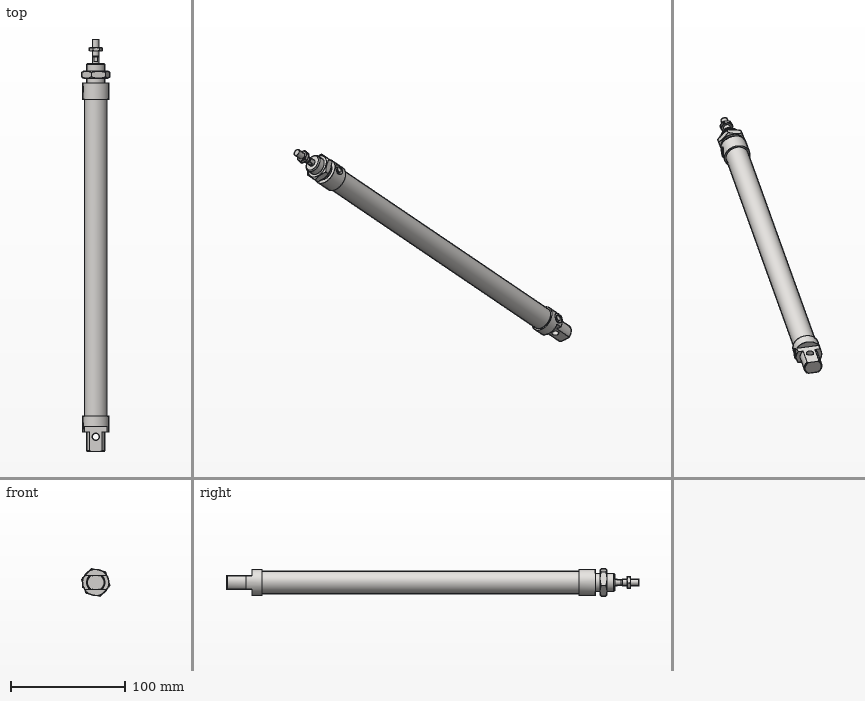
import cadquery as cq
import math


barrel_diameter = 20.0
cap_diameter = 23.0
neck_diameter = 16.0
neck_length = 17.0
neck_chamfer = 1.0
front_cap_length = 14.5
barrel_length = 277.5
rear_cap_length = 9.0

tongue_thickness = 12.0
tongue_diameter = 16.0
shoulder_length = 5.0
tongue_length = 17.0
pivot_diameter = 6.0
pivot_to_end = 13.0
tongue_chamfer = 0.75

port_boss_diameter = 9.0
port_thread_diameter = 5.0
port_core_diameter = 4.2
port_boss_depth = 3.0
port_thread_depth = 4.0
port_core_depth = 5.5
front_port_setback = 5.7
rear_port_offset = 0.3

rod_diameter = 6.0
rod_projection = 38.0
rod_thread_length = 14.5
rod_flat_width = 5.0
rod_flat_length = 3.8
rod_groove_diameter = 5.0
rod_groove_width = 1.0

nut_chamfer_angle = 30.0
nut_end_ratio = 0.95
neck_nut_width = 22.0
neck_nut_height = 6.5
neck_nut_turn = -12.4
neck_nut_gap = 3.8
rod_nut_width = 10.0
rod_nut_height = 3.2
rod_nut_turn = -5.0
rod_nut_setback = 7.15

barrel_front_y = -front_cap_length
barrel_rear_y = barrel_front_y - barrel_length
shoulder_y = barrel_rear_y - rear_cap_length
tongue_y = shoulder_y - shoulder_length
rear_end_y = tongue_y - tongue_length
front_port_y = -front_port_setback
rear_port_y = shoulder_y + rear_port_offset
port_face_x = -cap_diameter / 2


def cylinder_y(diameter, start_y, end_y):
    """Cylinder on the Y axis between two stations."""
    plane = cq.Workplane("XZ", origin=(0, start_y, 0))
    return plane.circle(diameter / 2).extrude(start_y - end_y)


def flattened_cylinder(diameter, thickness, start_y, end_y):
    """Cylinder on the Y axis with flats facing +Z and -Z."""
    length = end_y - start_y
    slab = cq.Workplane("XY").box(diameter, length, thickness)
    slab = slab.translate((0, start_y + length / 2, 0))
    return cylinder_y(diameter, start_y, end_y).intersect(slab)


def port_workplane(port_y):
    """Plane on the flat face of a port boss, with its normal pointing into the cap."""
    return cq.Workplane("YZ", origin=(port_face_x, port_y, 0))


def port_boss(port_y):
    """Round boss whose flat face surrounds a port."""
    return port_workplane(port_y).circle(port_boss_diameter / 2).extrude(port_boss_depth)


def port_hole(port_y):
    """Blind hole of a port: the wider thread, then its core."""
    thread = port_workplane(port_y).circle(port_thread_diameter / 2).extrude(port_thread_depth)
    core = port_workplane(port_y).circle(port_core_diameter / 2).extrude(port_core_depth)
    return thread.union(core)


def make_tongue():
    """Pivot tongue: a round bar chamfered at the rear end, flattened on top and bottom."""
    bar = cylinder_y(tongue_diameter, rear_end_y, tongue_y).faces("<Y").chamfer(tongue_chamfer)
    return bar.intersect(flattened_cylinder(tongue_diameter, tongue_thickness, rear_end_y, tongue_y))


def make_housing():
    """Barrel with both end caps, threaded neck, pivot tongue, ports and rod bore."""
    neck = cylinder_y(neck_diameter, 0, neck_length).faces(">Y").chamfer(neck_chamfer)
    body = cylinder_y(cap_diameter, barrel_front_y, 0).union(neck)
    body = body.union(cylinder_y(barrel_diameter, barrel_rear_y, barrel_front_y))
    body = body.union(cylinder_y(cap_diameter, shoulder_y, barrel_rear_y))
    body = body.union(flattened_cylinder(cap_diameter, tongue_thickness, tongue_y, shoulder_y))
    body = body.union(make_tongue())
    pivot_plane = cq.Workplane("XY", origin=(0, rear_end_y + pivot_to_end, 0))
    pivot_hole = pivot_plane.circle(pivot_diameter / 2).extrude(tongue_thickness, both=True)
    body = body.cut(pivot_hole)
    for port_y in (front_port_y, rear_port_y):
        body = body.union(port_boss(port_y)).cut(port_hole(port_y))
    return body.cut(cylinder_y(rod_diameter, barrel_front_y, neck_length))


def make_rod():
    """Piston rod with a wrench flat on two sides and a groove behind its end thread."""
    tip_y = rod_projection
    groove_front_y = tip_y - rod_thread_length
    flat_end_y = groove_front_y - rod_groove_width
    flat_start_y = flat_end_y - rod_flat_length
    rod = cylinder_y(rod_diameter, barrel_front_y, flat_start_y)
    rod = rod.union(flattened_cylinder(rod_diameter, rod_flat_width, flat_start_y, flat_end_y))
    rod = rod.union(cylinder_y(rod_groove_diameter, flat_end_y, groove_front_y))
    return rod.union(cylinder_y(rod_diameter, groove_front_y, tip_y))


def make_nut(width, height, bore, turn, start_y):
    """Hexagon nut on the Y axis with both ends chamfered, turned about Y."""
    corner_radius = width / 2 / math.cos(math.pi / 6)
    end_radius = nut_end_ratio * width / 2
    chamfer_height = (corner_radius - end_radius) * math.tan(math.radians(nut_chamfer_angle))
    hexagon = cq.Workplane("XZ").polygon(6, 2 * corner_radius).extrude(-height)
    hexagon = hexagon.rotate((0, 0, 0), (0, 1, 0), -turn)
    envelope = (
        cq.Workplane("XY")
        .polyline([
            (0, 0),
            (end_radius, 0),
            (corner_radius, chamfer_height),
            (corner_radius, height - chamfer_height),
            (end_radius, height),
            (0, height),
        ])
        .close()
        .revolve(360, (0, 0, 0), (0, 1, 0))
    )
    nut = hexagon.intersect(envelope).cut(cylinder_y(bore, 0, height))
    return nut.translate((0, start_y, 0))


housing = make_housing()
rod = make_rod()
neck_nut = make_nut(neck_nut_width, neck_nut_height, neck_diameter, neck_nut_turn, neck_nut_gap)
rod_nut_y = rod_projection - rod_nut_setback - rod_nut_height
rod_nut = make_nut(rod_nut_width, rod_nut_height, rod_diameter, rod_nut_turn, rod_nut_y)

result = cq.Compound.makeCompound([housing.val(), rod.val(), neck_nut.val(), rod_nut.val()])